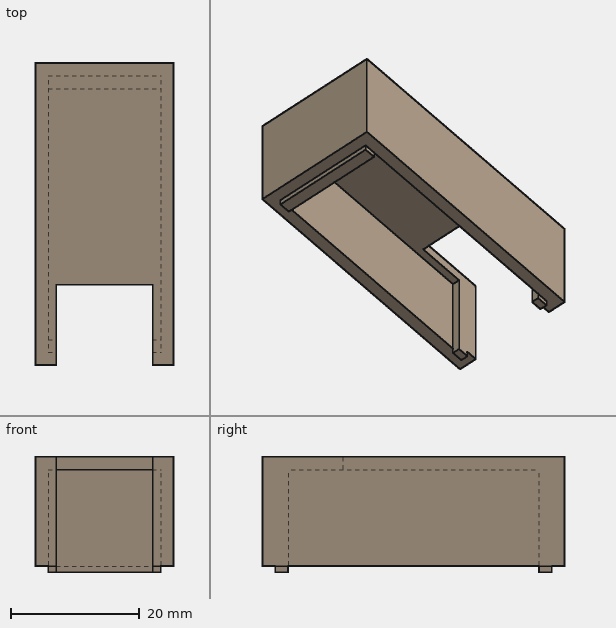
import cadquery as cq

WIDTH = 21.5
LENGTH = 47.0
SHELL_HEIGHT = 17.0
WALL = 2.0

PANEL_THICKNESS = 2.0
TONGUE_HEIGHT = 1.0

NOTCH_WIDTH = 15.0
NOTCH_DEPTH = 12.5

cavity_width = WIDTH - 2 * WALL
cavity_length = LENGTH - 2 * WALL
cavity_height = SHELL_HEIGHT - WALL
panel_height = cavity_height + TONGUE_HEIGHT
back_panel_front = LENGTH - WALL - PANEL_THICKNESS
notch_height = SHELL_HEIGHT + TONGUE_HEIGHT


def block(width, length, height, front, bottom):
    """Box centred on X, with its front face at Y = front and its underside at Z = bottom."""
    box = cq.Workplane("XY").box(width, length, height, centered=(True, False, False))
    return box.translate((0, front, bottom))


def make_shell():
    """Cover with a roof and four walls, open at the bottom."""
    outside = block(WIDTH, LENGTH, SHELL_HEIGHT, 0, 0)
    cavity = block(cavity_width, cavity_length, cavity_height, WALL, 0)
    return outside.cut(cavity)


def make_end_panel(front):
    """Panel across the cavity, from the roof down to its tongue below the shell."""
    return block(cavity_width, PANEL_THICKNESS, panel_height, front, -TONGUE_HEIGHT)


def make_notch():
    """Cutter for the notch, through the full height of the front end."""
    return block(NOTCH_WIDTH, NOTCH_DEPTH, notch_height, 0, -TONGUE_HEIGHT)


cover = make_shell()
for panel_front in (WALL, back_panel_front):
    cover = cover.union(make_end_panel(panel_front))

result = cover.cut(make_notch())